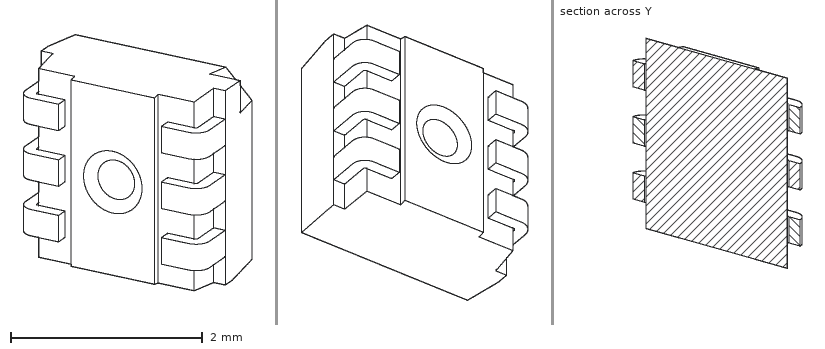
import cadquery as cq
import math


side = 2.2
total_depth = 1.15
rim_front = 0.5
rim_thickness = 0.15
draft_angle = 5.0

notch_depth = 0.3
notch_leg = 0.4

pad_width = 0.999
pad_front = 0.062
pad_draft_angle = 10.0
recess_diameter = 0.7
recess_floor_diameter = 0.44
recess_depth = 0.075

lead_thickness = 0.139
lead_width = 0.3
lead_pitch = 0.63
leads_per_side = 3
foot_length = 0.486
bend_outer_radius = 0.16
bend_inner_radius = bend_outer_radius - lead_thickness

rim_back = rim_front + rim_thickness
half_side = side / 2
front_block_width = side - 2 * lead_thickness
front_face = lead_thickness
front_block_depth = rim_front - front_face


def plane_at(y):
    """XZ workplane at depth y whose normal points to -Y."""
    return cq.Workplane("XZ", origin=(0, y, 0))


def make_back_block():
    """Rim plus the drafted block behind it, with the corner notch cut."""
    rim = plane_at(rim_back).rect(side, side).extrude(rim_thickness)
    back_depth = total_depth - rim_back
    back_side = side - 2 * back_depth * math.tan(math.radians(draft_angle))
    back = (
        plane_at(rim_back).rect(side, side)
        .workplane(offset=-back_depth).rect(back_side, back_side)
        .loft(ruled=True)
    )
    notch = (
        plane_at(total_depth)
        .moveTo(half_side, half_side)
        .lineTo(half_side - notch_leg, half_side)
        .lineTo(half_side, half_side - notch_leg)
        .close()
        .extrude(notch_depth)
    )
    return rim.union(back.cut(notch))


def make_front_block():
    """Drafted block ahead of the rim."""
    return (
        plane_at(rim_front).rect(front_block_width, side)
        .extrude(front_block_depth, taper=draft_angle)
    )


def make_pad():
    """Central pad that spans the block face; only its ends are drafted."""
    half_base = half_side - front_block_depth * math.tan(math.radians(draft_angle))
    half_top = half_base - (front_face - pad_front) * math.tan(math.radians(pad_draft_angle))
    return (
        cq.Workplane("YZ", origin=(-pad_width / 2, 0, 0))
        .moveTo(front_face, -half_base)
        .lineTo(pad_front, -half_top)
        .lineTo(pad_front, half_top)
        .lineTo(front_face, half_base)
        .close()
        .extrude(pad_width)
    )


def make_recess():
    """Conical recess in the pad, with a flat floor."""
    return (
        plane_at(pad_front).circle(recess_diameter / 2)
        .workplane(offset=-recess_depth).circle(recess_floor_diameter / 2)
        .loft()
    )


def make_housing():
    return make_back_block().union(make_front_block()).union(make_pad()).cut(make_recess())


def make_lead(direction, z):
    """J-shaped lead centred on height z; direction is -1 or +1 for the -X or +X row."""
    outer = direction * half_side
    inner = direction * (half_side - lead_thickness)
    tip = direction * (half_side - foot_length)
    lead = (
        cq.Workplane("XY", origin=(0, 0, z - lead_width / 2))
        .moveTo(outer, rim_front)
        .lineTo(outer, bend_outer_radius)
        .radiusArc((outer - direction * bend_outer_radius, 0), direction * bend_outer_radius)
        .lineTo(tip, 0)
        .lineTo(tip, lead_thickness)
        .lineTo(inner - direction * bend_inner_radius, lead_thickness)
        .radiusArc((inner, lead_thickness + bend_inner_radius), -direction * bend_inner_radius)
        .lineTo(inner, rim_front)
        .close()
        .extrude(lead_width)
    )
    return lead.val()


housing = make_housing()

leads = []
for row in (-1, 1):
    for index in range(leads_per_side):
        lead_height = (index - (leads_per_side - 1) / 2) * lead_pitch
        leads.append(make_lead(row, lead_height))

result = cq.Compound.makeCompound([housing.solids().val(), *leads])